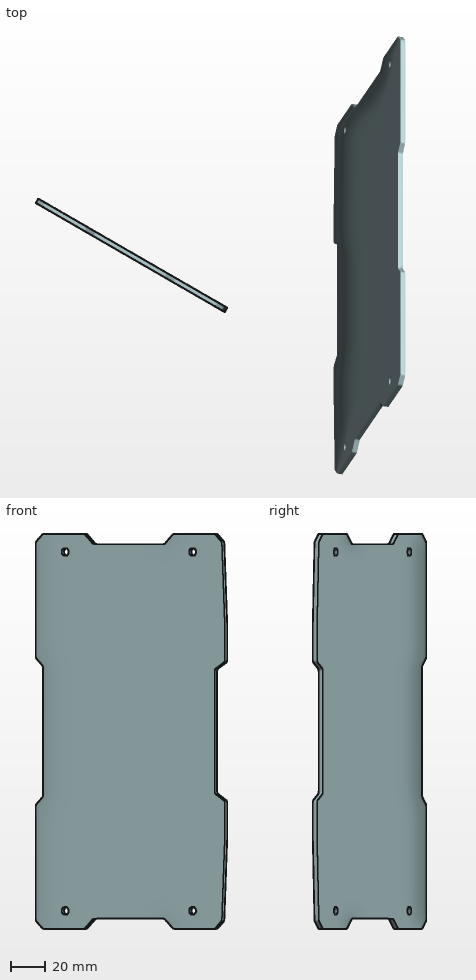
import cadquery as cq

height = 230.0
base_width = 125.1
flare = 1.95
thickness = 3.0
turn_about_z = -30.0

corner_chamfer = 4.8
edge_round = 2.0

end_notch_depth = 6.0
end_notch_floor = 47.8
end_notch_mouth = 59.8

side_notch_depth = 4.8
side_notch_floor = 76.0
side_notch_mouth = 85.5
flare_notch_mouth = 81.0
flare_notch_floor = 72.2
flare_start = 62.0

hole_diameter = 4.5
hole_spacing_across = 85.5
hole_spacing_up = 208.8

half_width = base_width / 2
half_height = height / 2
flared_x = half_width + flare

upper_outline = [
    (-half_width + side_notch_depth, side_notch_floor / 2),
    (-half_width, side_notch_mouth / 2),
    (-half_width, half_height - corner_chamfer),
    (-half_width + corner_chamfer, half_height),
    (-end_notch_mouth / 2, half_height),
    (-end_notch_floor / 2, half_height - end_notch_depth),
    (end_notch_floor / 2, half_height - end_notch_depth),
    (end_notch_mouth / 2, half_height),
    (half_width - corner_chamfer, half_height),
    (half_width, half_height - corner_chamfer),
    (flared_x, flare_start),
    (flared_x, flare_notch_mouth / 2),
    (half_width - side_notch_depth, flare_notch_floor / 2),
]
lower_outline = [(x, -y) for x, y in reversed(upper_outline)]

plate = (
    cq.Workplane("XY")
    .polyline(upper_outline + lower_outline)
    .close()
    .extrude(thickness)
    .edges("|Z")
    .fillet(edge_round)
)

holes = (
    cq.Workplane("XY")
    .rect(hole_spacing_across, hole_spacing_up, forConstruction=True)
    .vertices()
    .circle(hole_diameter / 2)
    .extrude(thickness)
)
plate = plate.cut(holes)

upright = plate.rotate((0, 0, 0), (1, 0, 0), 90)
result = upright.rotate((0, 0, 0), (0, 0, 1), turn_about_z)